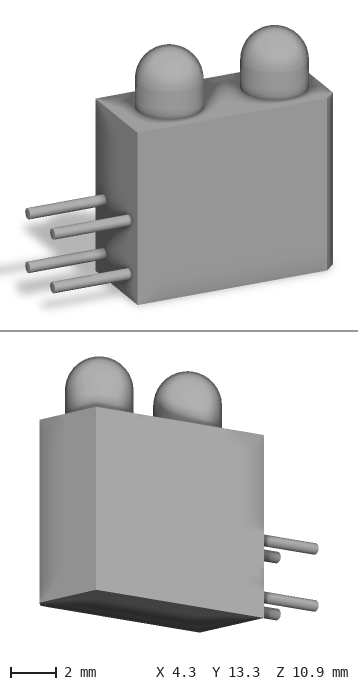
import cadquery as cq

housing_width = 4.3
housing_depth = 9.65
housing_height = 8.13
corner_chamfer = 0.5

total_depth = 13.33
lead_length = total_depth - housing_depth
lead_diameter = 0.5
lead_pitch = 2.53
lower_lead_height = 1.15

total_height = 10.93
lens_diameter = 3.0
lens_radius = lens_diameter / 2
lens_pitch = 5.08
rear_lens_setback = 2.03
lens_height = total_height - housing_height
lens_straight_height = lens_height - lens_radius


def make_housing():
    """Block with one chamfered rear corner and four leads fused to its front."""
    block = (
        cq.Workplane("XY")
        .box(housing_width, housing_depth, housing_height, centered=(True, False, False))
        .edges("|Z and >X and >Y")
        .chamfer(corner_chamfer)
    )
    lead_centers = [
        (side * lead_pitch / 2, lower_lead_height + row * lead_pitch)
        for side in (-1, 1)
        for row in (0, 1)
    ]
    leads = (
        cq.Workplane("XZ")
        .pushPoints(lead_centers)
        .circle(lead_diameter / 2)
        .extrude(lead_length)
    )
    return block.union(leads)


def make_lens(center_y):
    """Cylinder with a hemispherical top, revolved from half of its section."""
    dome_offset = lens_radius * 0.5 ** 0.5
    return (
        cq.Workplane("XZ")
        .lineTo(lens_radius, 0)
        .lineTo(lens_radius, lens_straight_height)
        .threePointArc(
            (dome_offset, lens_straight_height + dome_offset),
            (0, lens_height),
        )
        .close()
        .revolve(360, (0, 0), (0, 1))
        .translate((0, center_y, housing_height))
    )


housing = make_housing()

rear_lens_y = housing_depth - rear_lens_setback
lenses = [make_lens(rear_lens_y - index * lens_pitch) for index in range(2)]

result = cq.Compound.makeCompound([housing.val(), *[lens.val() for lens in lenses]])